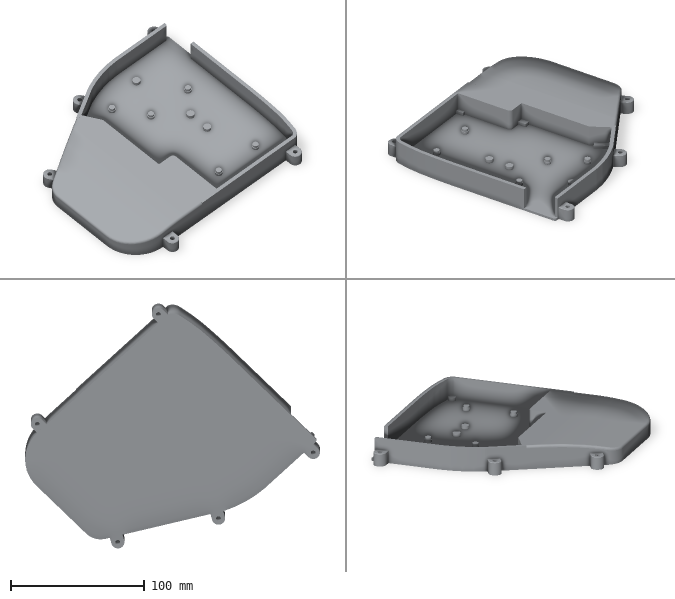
import cadquery as cq
import math

HEIGHT = 18.5
HALF_WIDTH = 75.4
BACK_Y = 88.3
FRONT_Y = -88.3
WALL = 3.0
FLOOR = 2.0

SLANT_ANGLE = 30.0
SLANT_COS = math.cos(math.radians(SLANT_ANGLE))
SLANT_SIN = math.sin(math.radians(SLANT_ANGLE))
SLANT_TAN = math.tan(math.radians(SLANT_ANGLE))
SLANT_FRONT_X = -17.0
SLANT_TOP_Y = -1.6

LEFT_FRONT_RADIUS = 15.0
RIGHT_FRONT_RADIUS = 30.0
LEFT_BACK_RADIUS = 2.0

GAP_END_X = -47.0
WALL_END_RADIUS = 1.0

CAVITY_FRONT_Y = -15.0
CAVITY_BEND_X = -36.2
STEP_X = 24.9
STEP_Y = -0.4
STEP_RADIUS = 3.0
CORNER_RADIUS = 0.9

SEAM_Y = CAVITY_FRONT_Y - WALL
SEAM_BEND_X = CAVITY_BEND_X + WALL * math.tan(math.radians(SLANT_ANGLE / 2))
SLOPE_START_Y = -36.2
SLOPE_RADIUS = 199.5
RIM_FILLET = 2.0

LUG_RADIUS = 5.0
LUG_HEIGHT = 10.0
LUG_HOLE_DIAMETER = 3.5
LUG_CHAMFER = 0.4
LEFT_LUG_Y = 79.1
RIGHT_LUG_YS = (73.3, -53.3)
SLANT_LUG_YS = (-6.2, -73.6)

STUD_DIAMETER = 5.5
STUD_HEIGHT = 2.0
STUD_TIP_DIAMETER = 4.6
STUD_TIP_HEIGHT = 2.0
STUD_PAIR_SPACING = 38.0
STUDS = [
    (-24.5, 61.5),
    (-24.5, 61.5 - STUD_PAIR_SPACING),
    (51.5, 59.5),
    (51.5, 59.5 - STUD_PAIR_SPACING),
    (-49.3, 6.5),
]
PAD_DIAMETER = 6.0
PAD_HEIGHT = 2.6
ROUND_PADS = [(-57.2, 39.2), (-5.1, 46.0), (13.0, 46.0), (69.2, 77.5)]
SLANT_PAD_LENGTH = 13.2
SLANT_PAD_WIDTH = 4.0
STEP_PAD_SIZE = (6.7, 4.6)
RIGHT_PAD_SIZE = (6.0, 2.6)

BIG = 3 * BACK_Y


def slant_x(y):
    """X of the outer face of the slanted wall at the given Y."""
    return SLANT_FRONT_X - (y - FRONT_Y) * SLANT_TAN


def outline_prism(height):
    """The whole plan outline, extruded up from the underside."""
    prism = (
        cq.Workplane("XY")
        .moveTo(SLANT_FRONT_X, FRONT_Y)
        .lineTo(HALF_WIDTH, FRONT_Y)
        .lineTo(HALF_WIDTH, 78.4)
        .threePointArc((72.8, 82.1), (68.5, 84.0))
        .threePointArc((54.7, 86.5), (38.8, 87.8))
        .threePointArc((29.1, 88.1), (18.9, BACK_Y))
        .lineTo(-HALF_WIDTH, BACK_Y)
        .lineTo(-HALF_WIDTH, 33.0)
        .lineTo(-74.7, 24.2)
        .threePointArc((-72.0, 11.7), (-67.6, -0.4))
        .lineTo(slant_x(SLANT_TOP_Y), SLANT_TOP_Y)
        .close()
        .extrude(height)
    )
    return (
        prism
        .edges(cq.selectors.NearestToPointSelector((SLANT_FRONT_X, FRONT_Y, height / 2)))
        .fillet(LEFT_FRONT_RADIUS)
        .edges(cq.selectors.NearestToPointSelector((HALF_WIDTH, FRONT_Y, height / 2)))
        .fillet(RIGHT_FRONT_RADIUS)
        .edges(cq.selectors.NearestToPointSelector((-HALF_WIDTH, BACK_Y, height / 2)))
        .fillet(LEFT_BACK_RADIUS)
    )


def region_behind(bend_x, edge_y):
    """Everything behind a front edge that bends square to the slanted wall."""
    return (
        cq.Workplane("XY")
        .moveTo(BIG, edge_y)
        .lineTo(bend_x, edge_y)
        .lineTo(bend_x - BIG * SLANT_COS, edge_y - BIG * SLANT_SIN)
        .lineTo(-BIG, BIG)
        .lineTo(BIG, BIG)
        .close()
        .extrude(HEIGHT)
    )


def box_between(x_limits, y_limits, z_limits):
    """A box between pairs of limits along X, Y and Z."""
    size = [high - low for low, high in (x_limits, y_limits, z_limits)]
    return cq.Workplane("XY").box(*size, centered=False).translate(
        (x_limits[0], y_limits[0], z_limits[0])
    )


outline = outline_prism(HEIGHT)
behind_seam = region_behind(SEAM_BEND_X, SEAM_Y)

WALL_LINE_X = slant_x(CAVITY_FRONT_Y) + WALL / SLANT_COS
BENT_EDGE_LENGTH = (CAVITY_BEND_X - WALL_LINE_X) * SLANT_COS
INNER_CORNER = (
    CAVITY_BEND_X - BENT_EDGE_LENGTH * SLANT_COS,
    CAVITY_FRONT_Y - BENT_EDGE_LENGTH * SLANT_SIN,
)


def make_cavity():
    """The open space above the tray floor, inside the walls."""
    inside = outline.faces("<Z").wires().toPending().offset2D(-WALL).extrude(HEIGHT, combine=False)
    inside = inside.translate((0, 0, HEIGHT)) if inside.val().BoundingBox().zmin < -1 else inside
    step = box_between((STEP_X, BIG), (-BIG, STEP_Y), (0, HEIGHT))
    cavity = inside.intersect(region_behind(CAVITY_BEND_X, CAVITY_FRONT_Y)).cut(step)
    cavity = (
        cavity
        .edges(cq.selectors.NearestToPointSelector((STEP_X, STEP_Y, HEIGHT / 2)))
        .fillet(STEP_RADIUS)
        .edges(cq.selectors.NearestToPointSelector((HALF_WIDTH - WALL, STEP_Y, HEIGHT / 2)))
        .fillet(CORNER_RADIUS)
        .edges(cq.selectors.NearestToPointSelector((*INNER_CORNER, HEIGHT / 2)))
        .fillet(CORNER_RADIUS)
    )
    return cavity.translate((0, 0, FLOOR))


def make_back_gap():
    """The opening that takes away the left part of the back wall, down to the floor."""
    return box_between((-BIG, GAP_END_X), (BACK_Y - WALL, BIG), (FLOOR, BIG))


def make_studs():
    """Round studs with a narrower tip, on the floor."""
    studs = cq.Workplane("XY").workplane(offset=FLOOR).pushPoints(STUDS)
    bases = studs.circle(STUD_DIAMETER / 2).extrude(STUD_HEIGHT)
    tips = studs.circle(STUD_TIP_DIAMETER / 2).extrude(STUD_HEIGHT + STUD_TIP_HEIGHT)
    return bases.union(tips)


def make_pads():
    """Low round pads, and rectangular pads in the front corners of the cavity."""
    top = FLOOR + PAD_HEIGHT
    pads = (
        cq.Workplane("XY").workplane(offset=FLOOR)
        .pushPoints(ROUND_PADS).circle(PAD_DIAMETER / 2).extrude(PAD_HEIGHT)
    )
    step_length, step_width = STEP_PAD_SIZE
    pads = pads.union(box_between(
        (STEP_X - step_length, STEP_X), (CAVITY_FRONT_Y, CAVITY_FRONT_Y + step_width), (0, top)
    ))
    right_length, right_width = RIGHT_PAD_SIZE
    right_inside = HALF_WIDTH - WALL
    pads = pads.union(box_between(
        (right_inside - right_length, right_inside), (STEP_Y, STEP_Y + right_width), (0, top)
    ))
    slant_pad = (
        box_between((0, SLANT_PAD_LENGTH), (0, SLANT_PAD_WIDTH), (0, top))
        .rotate((0, 0, 0), (0, 0, 1), SLANT_ANGLE)
        .translate((*INNER_CORNER, 0))
    )
    return pads.union(slant_pad)


def make_tray():
    """The tray: floor, walls, and the studs and pads on the floor."""
    tray = outline.intersect(behind_seam).cut(make_cavity()).cut(make_back_gap())
    wall_end = cq.selectors.NearestToPointSelector(
        (-HALF_WIDTH + WALL, BACK_Y - WALL, (FLOOR + HEIGHT) / 2)
    )
    tray = tray.edges(wall_end).fillet(WALL_END_RADIUS)
    return tray.union(make_studs()).union(make_pads())


def make_front_block():
    """The solid front block, whose top curves down towards the front and has a rounded rim."""
    run = SLOPE_START_Y - FRONT_Y + WALL
    drop = SLOPE_RADIUS - math.sqrt(SLOPE_RADIUS**2 - run**2)
    half_run = run / 2
    half_drop = SLOPE_RADIUS - math.sqrt(SLOPE_RADIUS**2 - half_run**2)
    above_slope = (
        cq.Workplane("YZ")
        .moveTo(SLOPE_START_Y, HEIGHT)
        .threePointArc((SLOPE_START_Y - half_run, HEIGHT - half_drop), (SLOPE_START_Y - run, HEIGHT - drop))
        .lineTo(SLOPE_START_Y - run, BIG)
        .lineTo(SLOPE_START_Y, BIG)
        .close()
        .extrude(BIG, both=True)
    )
    block = outline.cut(behind_seam).cut(above_slope)
    top_faces = block.faces("+Z").vals() + block.faces(
        cq.selectors.NearestToPointSelector((HALF_WIDTH / 2, (SLOPE_START_Y + FRONT_Y) / 2, HEIGHT))
    ).vals()
    inner_ys = (SEAM_Y, SLOPE_START_Y)
    rim = []
    for face in top_faces:
        for edge in face.Edges():
            middle = edge.positionAt(0.5)
            along_x = abs(edge.tangentAt(0.5).x) > 0.999
            on_inner_line = along_x and min(abs(middle.y - y) for y in inner_ys) < 0.02
            on_bent_seam = middle.y > SLOPE_START_Y and 0.1 < abs(edge.tangentAt(0.5).y) < 0.6
            if not on_inner_line and not on_bent_seam:
                rim.append(edge)
    return block.newObject(rim).fillet(RIM_FILLET)


def make_lug(wall_x, wall_y, outward_angle):
    """A round-ended screw lug standing out from a wall point."""
    lug = (
        cq.Workplane("XY")
        .moveTo(0, -LUG_RADIUS)
        .lineTo(LUG_RADIUS, -LUG_RADIUS)
        .threePointArc((2 * LUG_RADIUS, 0), (LUG_RADIUS, LUG_RADIUS))
        .lineTo(0, LUG_RADIUS)
        .close()
        .extrude(LUG_HEIGHT)
        .faces(">Z").edges("not <X").chamfer(LUG_CHAMFER)
    )
    hole = cq.Workplane("XY").center(LUG_RADIUS, 0).circle(LUG_HOLE_DIAMETER / 2).extrude(LUG_HEIGHT)
    return (
        lug.cut(hole)
        .rotate((0, 0, 0), (0, 0, 1), outward_angle)
        .translate((wall_x, wall_y, 0))
    )


lug_places = [(-HALF_WIDTH, LEFT_LUG_Y, 180)]
for lug_y in RIGHT_LUG_YS:
    lug_places.append((HALF_WIDTH, lug_y, 0))
for lug_y in SLANT_LUG_YS:
    lug_places.append((slant_x(lug_y), lug_y, 180 + SLANT_ANGLE))

tray = make_tray()
front_block = make_front_block()
lugs = [make_lug(*place) for place in lug_places]

result = cq.Compound.makeCompound([tray.val(), front_block.val(), *[lug.val() for lug in lugs]])